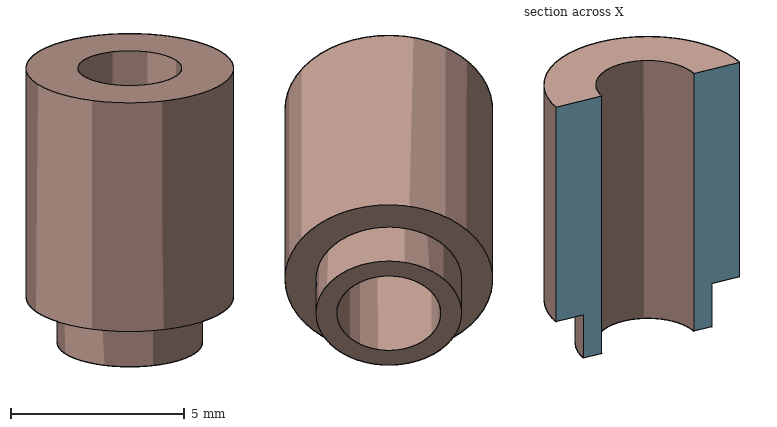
import cadquery as cq

total_height = 8.4
body_diameter = 6.0
bore_diameter = body_diameter / 2

spigot_diameter = 4.2
spigot_height = 1.4

body_height = total_height - spigot_height

spigot = cq.Workplane("XY").circle(spigot_diameter / 2).extrude(spigot_height)
stepped_sleeve = spigot.faces(">Z").workplane().circle(body_diameter / 2).extrude(body_height)

bore = cq.Workplane("XY").circle(bore_diameter / 2).extrude(total_height)

result = stepped_sleeve.cut(bore)